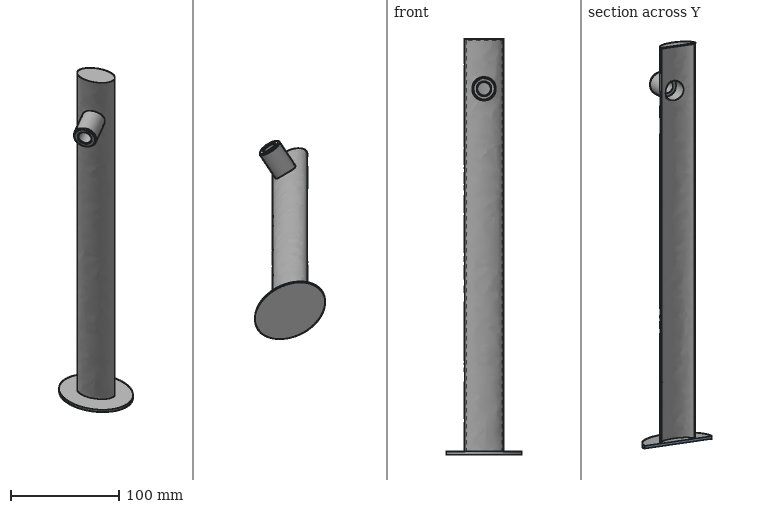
import cadquery as cq

total_height = 384.5
total_depth = 62.0

plate_width = 70.0
plate_depth = 50.0
plate_thickness = 3.0

column_width = 36.0
column_depth = 20.0
wall = 1.5

spout_diameter = 22.0
spout_drop = 46.0
spout_height = total_height - spout_drop
spout_length = total_depth - plate_depth / 2
spout_edge_chamfer = 1.0

bush_bore_diameter = 12.3
bush_length = 14.5
bush_edge_chamfer = 0.8


def elliptical_prism(width, depth, bottom, top):
    """Upright prism with its long axis along X."""
    outline = cq.Workplane("XY").workplane(offset=bottom).ellipse(width / 2, depth / 2)
    return outline.extrude(top - bottom)


def spout_cylinder(diameter, length):
    """Cylinder at spout height, running along -Y from the column's middle plane."""
    center = cq.Workplane("XZ").center(0, spout_height)
    return center.circle(diameter / 2).extrude(length)


plate = elliptical_prism(plate_width, plate_depth, 0, plate_thickness)
column = elliptical_prism(column_width, column_depth, 0, total_height)
spout = spout_cylinder(spout_diameter, spout_length).faces("<Y").chamfer(spout_edge_chamfer)
body = plate.union(column).union(spout)

column_cavity = elliptical_prism(
    column_width - 2 * wall, column_depth - 2 * wall, plate_thickness, total_height - wall
)
tube_cavity = spout_cylinder(spout_diameter - 2 * wall, spout_length - bush_length)
bush_bore = spout_cylinder(bush_bore_diameter, spout_length)

entry_radius = bush_bore_diameter / 2 + bush_edge_chamfer
bore_entry = cq.Workplane(
    cq.Solid.makeCone(
        entry_radius,
        bush_bore_diameter / 2,
        bush_edge_chamfer,
        cq.Vector(0, -spout_length, spout_height),
        cq.Vector(0, 1, 0),
    )
)

result = body.cut(column_cavity).cut(tube_cavity).cut(bush_bore).cut(bore_entry)